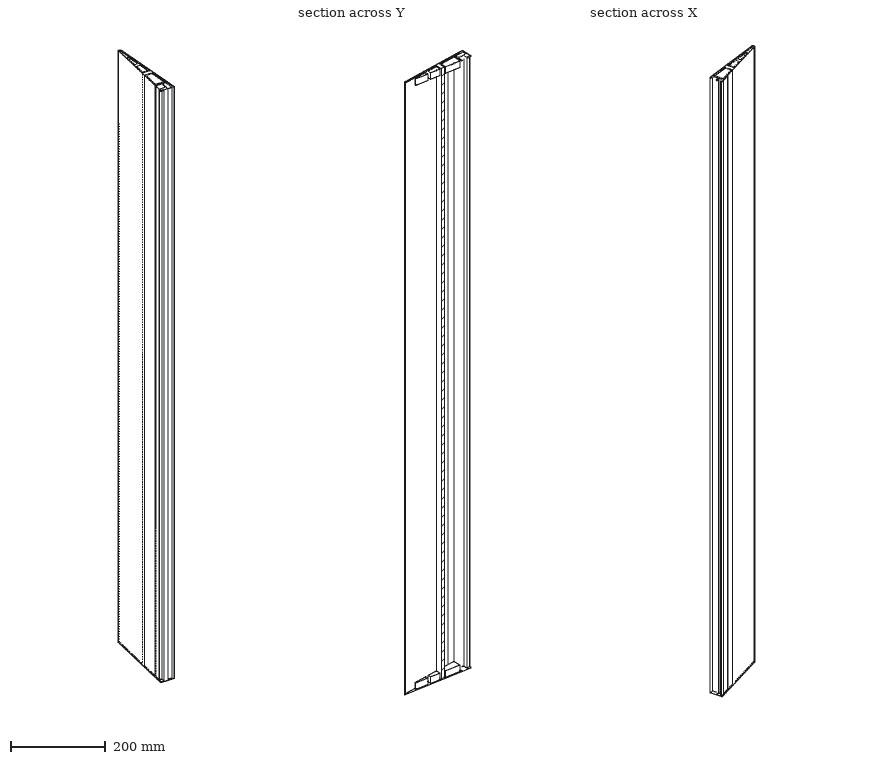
import cadquery as cq

length = 1500.0
width = 180.0
height = 33.0

nose_setback = 0.3
nose_tip_height = 2.0
nose_end_x = 0.8
nose_end_y = 6.0
skin_slope = (height - nose_end_y) / (width - nose_end_x)

strip_start = 135.0
strip_end = 172.0
strip_depth = 0.8

undercut_depth = 8.0
undercut_height = 8.0

wall = 2.0
end_cap = 2.0

front_chamber = (wall, 99.0)
main_chamber = (108.0, 153.0)
heel_chamber_start = 156.0
heel_web_bottom = 16.0

tab_clearance = 3.0
tab_gap = 2.2
nose_tab = (30.0, 63.0)
middle_tab = (70.0, front_chamber[1] - tab_clearance)
main_tab = (main_chamber[0] + tab_clearance, main_chamber[1] - tab_clearance)
tab_reach = 18.0


def skin_height(x):
    """Height of the sloping skin's outer face."""
    return nose_end_y + skin_slope * (x - nose_end_x)


def block(x_range, y_range, z_range):
    """Box given by its limits along each axis."""
    limits = (x_range, y_range, z_range)
    size = [high - low for low, high in limits]
    corner = tuple(low for low, high in limits)
    return cq.Workplane("XY").box(*size, centered=False).translate(corner)


def under_skin(x_range, bottom, cover, z_range):
    """Prism from a flat bottom up to a ceiling that lies a given cover below the skin."""
    start, end = x_range
    low, high = z_range
    corners = [
        (start, bottom),
        (end, bottom),
        (end, skin_height(end) - cover),
        (start, skin_height(start) - cover),
    ]
    return cq.Workplane("XY", origin=(0, 0, low)).polyline(corners).close().extrude(high - low)


def wedge():
    """Closed outer body, with its section constant along Z."""
    return (
        cq.Workplane("XY")
        .moveTo(nose_setback, 0)
        .threePointArc((0, nose_tip_height), (nose_end_x, nose_end_y))
        .lineTo(width, height)
        .lineTo(width, 0)
        .close()
        .extrude(length)
    )


def strip_recess():
    """Shallow recess in the skin between the end caps."""
    x_range = (strip_start, strip_end)
    z_range = (end_cap, length - end_cap)
    return block(x_range, (0, height), z_range).cut(under_skin(x_range, 0, strip_depth, z_range))


def heel_undercut():
    """Corner removed between the end caps."""
    return block(
        (width - undercut_depth, width),
        (0, undercut_height),
        (end_cap, length - end_cap),
    )


def wedge_chambers():
    """The two chambers under the slope, around the cap tabs left standing at both ends."""
    z_range = (end_cap, length - end_cap)
    front = under_skin(front_chamber, wall, wall, z_range)
    void = front.union(under_skin(main_chamber, wall, wall, z_range))
    tab_inset = wall + tab_gap
    for tab in (nose_tab, middle_tab, main_tab):
        for tab_bottom in (0, length - tab_reach):
            void = void.cut(under_skin(tab, tab_inset, tab_inset, (tab_bottom, tab_bottom + tab_reach)))
    return void


def heel_chambers():
    """Two chambers in the heel, one above and one below its web."""
    z_range = (end_cap, length - end_cap)
    lower_end = width - undercut_depth - wall
    lower = block((heel_chamber_start, lower_end), (wall, heel_web_bottom), z_range)
    upper = under_skin((heel_chamber_start, width - wall), heel_web_bottom + wall, 2 * wall, z_range)
    return lower.union(upper)


result = wedge().cut(strip_recess()).cut(heel_undercut()).cut(wedge_chambers()).cut(heel_chambers())